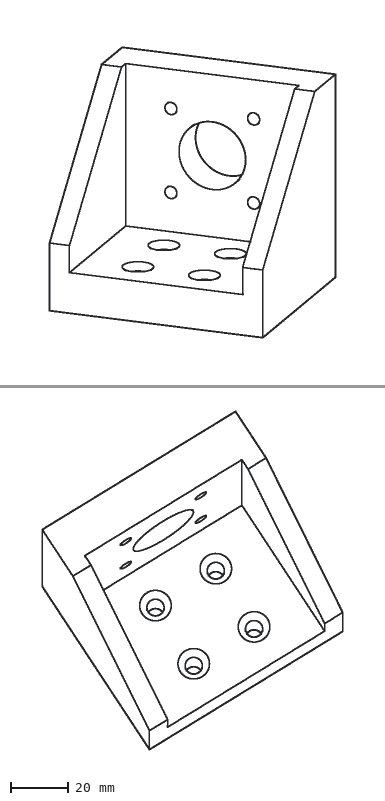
import cadquery as cq

width = 80.0
depth = 70.0
height = 75.0

side_wall = 7.5
back_wall = 16.0
floor_thickness = 15.0
side_top_length = 20.0
front_height = height - (depth - side_top_length)

bore_diameter = 25.0
bore_height = 45.0
bolt_diameter = 4.5
bolt_spacing = 31.0

mount_diameter = 6.0
countersink_diameter = 11.0
countersink_angle = 90.0
mount_spacing = 25.0
mount_center_y = (depth - back_wall) / 2


def make_body():
    """Side profile with a sloping front, extruded across the width."""
    return (
        cq.Workplane("YZ")
        .polyline([
            (0, 0),
            (depth, 0),
            (depth, height),
            (depth - side_top_length, height),
            (0, front_height),
        ])
        .close()
        .extrude(width / 2, both=True)
    )


def make_pocket():
    """Space between the side walls, open at the front and top."""
    return cq.Workplane("XY").box(
        width - 2 * side_wall,
        depth - back_wall,
        height - floor_thickness,
        centered=(True, False, False),
    ).translate((0, 0, floor_thickness))


def drill_back_wall(body):
    """Central bore and four bolt holes through the back wall."""
    bore = (
        cq.Workplane("XZ", origin=(0, depth, bore_height))
        .circle(bore_diameter / 2)
        .extrude(back_wall)
    )
    bolts = (
        cq.Workplane("XZ", origin=(0, depth, bore_height))
        .rect(bolt_spacing, bolt_spacing, forConstruction=True)
        .vertices()
        .circle(bolt_diameter / 2)
        .extrude(back_wall)
    )
    return body.cut(bore).cut(bolts)


def drill_floor(body):
    """Four mounting holes, countersunk from the inside of the floor."""
    return (
        body.copyWorkplane(cq.Workplane("XY", origin=(0, mount_center_y, floor_thickness)))
        .rect(mount_spacing, mount_spacing, forConstruction=True)
        .vertices()
        .cskHole(mount_diameter, countersink_diameter, countersink_angle, depth=floor_thickness)
    )


bracket = make_body().cut(make_pocket())
bracket = drill_back_wall(bracket)
result = drill_floor(bracket)